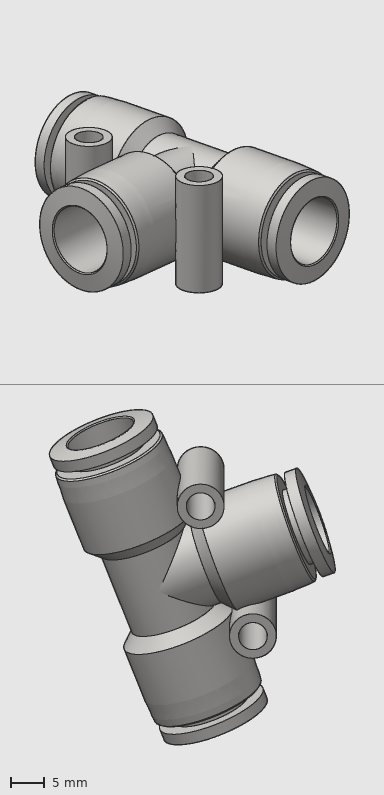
import cadquery as cq

run_reach = 24.25
branch_reach = 25.44
body_radius = 8.755
waist_radius = 6.75

collar_rim_inset = 0.4
collar_inset = 2.2
body_end_inset = 3.4
lip_inset = 3.65
cap_line_inset = 4.75
taper_start_inset = 7.28
shoulder_inset = 15.85
waist_inset = 17.825

collar_radius = 8.3
neck_radius = 5.9
body_end_radius = 8.25
lip_radius = 8.55
cap_line_radius = 8.65

bore_radius = 4.03
socket_radius = 5.25
socket_chamfer = 0.2

post_offset = 10.9
post_radius = 3.5
post_hole_radius = 2.15
post_height = 2 * body_radius

run_directions = (cq.Vector(-1, 0, 0), cq.Vector(1, 0, 0))
branch_direction = cq.Vector(0, -1, 0)


def port_plane(direction):
    """Plane whose local Y points out along the port and whose normal is Z."""
    up = cq.Vector(0, 0, 1)
    return cq.Plane(origin=(0, 0, 0), xDir=direction.cross(up), normal=up)


def revolve_profile(direction, points):
    """Revolve (radius, distance along the port) points about the port axis."""
    profile = cq.Workplane(port_plane(direction)).polyline(points).close()
    return profile.revolve(360, (0, 0), (0, 1))


def port_body(direction, reach):
    """Waist, shoulder, tapered body, neck and release collar of one port."""
    return revolve_profile(direction, [
        (0, 0),
        (waist_radius, 0),
        (waist_radius, reach - waist_inset),
        (body_radius, reach - shoulder_inset),
        (body_radius, reach - taper_start_inset),
        (cap_line_radius, reach - cap_line_inset),
        (lip_radius, reach - lip_inset),
        (body_end_radius, reach - body_end_inset),
        (neck_radius, reach - body_end_inset),
        (neck_radius, reach - collar_inset),
        (collar_radius, reach - collar_inset),
        (collar_radius, reach - collar_rim_inset),
        (socket_radius + socket_chamfer, reach),
        (0, reach),
    ])


def port_bore(direction, reach):
    """Through bore opening into a chamfered tube socket."""
    return revolve_profile(direction, [
        (0, 0),
        (bore_radius, 0),
        (bore_radius, reach - shoulder_inset),
        (socket_radius, reach - shoulder_inset),
        (socket_radius, reach - socket_chamfer),
        (socket_radius + socket_chamfer, reach),
        (0, reach),
    ])


def posts(radius):
    """Pair of upright cylinders in the corners between run and branch."""
    centres = [(-post_offset, -post_offset), (post_offset, -post_offset)]
    return (
        cq.Workplane("XY", origin=(0, 0, -post_height / 2))
        .pushPoints(centres)
        .circle(radius)
        .extrude(post_height)
    )


ports = [(direction, run_reach) for direction in run_directions]
ports.append((branch_direction, branch_reach))

result = posts(post_radius)
for direction, reach in ports:
    result = result.union(port_body(direction, reach))
for direction, reach in ports:
    result = result.cut(port_bore(direction, reach))
result = result.cut(posts(post_hole_radius))